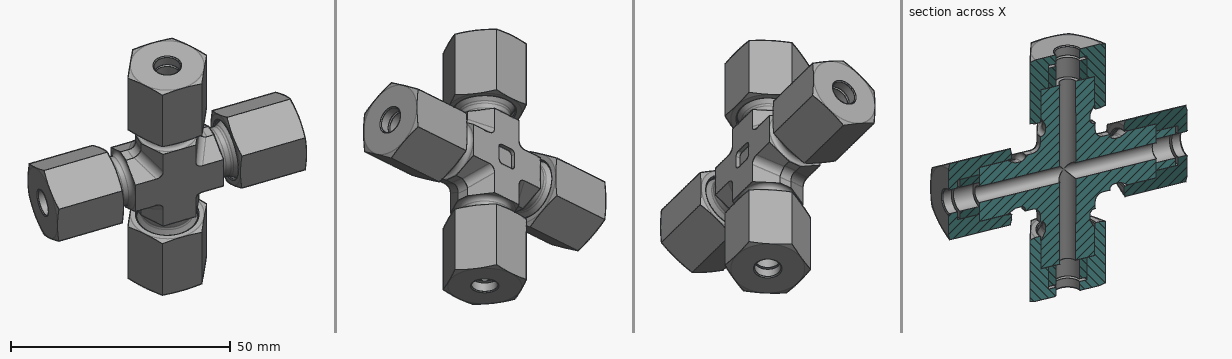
import cadquery as cq
import math

arm_angles = [0, 90, 180, 270]
end_reach = 31.0
through_bore = 4.0
tolerance = 0.01

arm_flats = 14.0
arm_width = 14.4
arm_reach = 11.0
arm_fillet = 2.0

recess_side = 5.0
recess_depth = 1.0
recess_corner = 1.0

thread_diameter = 14.0
neck_diameter = 11.7
neck_end = 13.3
runout_angle = math.radians(30)
stub_reach = 23.0

nut_flats = 17.0
nut_start = 14.5
nut_face_diameter = 16.85
nut_bevel_height = 0.4
nut_mouth_diameter = 14.5
nut_pocket_end = 28.6
tube_bore_chamfer = 0.25

ferrule_diameter = 10.0
ferrule_end = 28.0
tube_bore = 6.0


def hexagon_prism(flats, start, end):
    """Hexagonal prism along Z with two of its flats facing +X and -X."""
    corner_diameter = flats / math.cos(math.pi / 6)
    prism = cq.Workplane("XY").workplane(offset=start).polygon(6, corner_diameter).extrude(end - start)
    return prism.rotate((0, 0, 0), (0, 0, 1), 30)


def cylinder(diameter, start, end):
    """Cylinder along Z between two heights."""
    return cq.Workplane("XY").workplane(offset=start).circle(diameter / 2).extrude(end - start)


def on_arm(shape, angle):
    """Turn a shape made along +Z onto one of the arms."""
    return shape.rotate((0, 0, 0), (1, 0, 0), angle)


def make_stub():
    """Threaded stub along +Z: root fillet, neck, conical run-out and thread."""
    neck_radius = neck_diameter / 2
    thread_radius = thread_diameter / 2
    fillet = thread_radius - neck_radius
    fillet_mid = fillet * (1 - math.sin(math.pi / 4))

    runout_radius = neck_radius + fillet * (1 - math.cos(runout_angle))
    runout_start = neck_end + fillet * math.sin(runout_angle)
    runout_mid_radius = neck_radius + fillet * (1 - math.cos(runout_angle / 2))
    runout_mid = neck_end + fillet * math.sin(runout_angle / 2)
    thread_start = runout_start + (thread_radius - runout_radius) / math.tan(runout_angle)

    profile = (
        cq.Workplane("XZ")
        .moveTo(0, arm_reach)
        .lineTo(thread_radius, arm_reach)
        .threePointArc(
            (neck_radius + fillet_mid, arm_reach + fillet_mid),
            (neck_radius, arm_reach + fillet),
        )
        .lineTo(neck_radius, neck_end)
        .threePointArc((runout_mid_radius, runout_mid), (runout_radius, runout_start))
        .lineTo(thread_radius, thread_start)
        .lineTo(thread_radius, stub_reach)
        .lineTo(0, stub_reach)
        .close()
    )
    return profile.revolve(360, (0, 0, 0), (0, 1, 0))


def make_arms():
    """Crossing hexagonal bars, rounded at the inner corners and trimmed to the cut width."""
    bar = hexagon_prism(arm_flats, -arm_reach, arm_reach)
    arms = bar.union(on_arm(bar, 90)).clean()

    inner_edges = [edge for edge in arms.edges().vals() if is_oblique(edge)]
    arms = arms.newObject(inner_edges).fillet(arm_fillet)

    outline = cq.Workplane("XY").box(arm_flats, arm_width, 2 * arm_reach)
    outline = outline.union(on_arm(outline, 90)).clean()
    inner_limit = (arm_width / 2 + arm_reach) / 2
    inner_corners = cq.selectors.BoxSelector(
        (-arm_flats, -inner_limit, -inner_limit),
        (arm_flats, inner_limit, inner_limit),
    )
    outline = outline.edges("|X").edges(inner_corners).fillet(arm_fillet)
    return arms.intersect(outline)


def is_oblique(edge):
    """True for a straight edge that runs along X, Y and Z at once."""
    direction = edge.tangentAt(0)
    return min(abs(direction.x), abs(direction.y), abs(direction.z)) > tolerance


def make_block():
    """Cross block with four stubs, crossing bores and a recess."""
    block = make_arms()
    stub = make_stub()
    for angle in arm_angles:
        block = block.union(on_arm(stub, angle))

    bore = cylinder(through_bore, -stub_reach, stub_reach)
    block = block.cut(bore).cut(on_arm(bore, 90))

    recess = (
        cq.Workplane("YZ")
        .workplane(offset=-arm_flats / 2)
        .rect(recess_side, recess_side)
        .extrude(recess_depth)
        .edges("|X")
        .fillet(recess_corner)
    )
    return block.cut(recess)


def make_nut():
    """Hexagonal nut along +Z, bevelled at both ends, with a stepped bore."""
    corner_radius = nut_flats / 2 / math.cos(math.pi / 6)
    face_radius = nut_face_diameter / 2
    bevelled_envelope = (
        cq.Workplane("XZ")
        .moveTo(0, nut_start)
        .lineTo(face_radius, nut_start)
        .lineTo(corner_radius, nut_start + nut_bevel_height)
        .lineTo(corner_radius, end_reach - nut_bevel_height)
        .lineTo(face_radius, end_reach)
        .lineTo(0, end_reach)
        .close()
        .revolve(360, (0, 0, 0), (0, 1, 0))
    )
    nut = hexagon_prism(nut_flats, nut_start, end_reach).intersect(bevelled_envelope)
    nut = nut.cut(cylinder(thread_diameter, nut_start, stub_reach))
    nut = nut.cut(cylinder(ferrule_diameter, stub_reach, nut_pocket_end))
    nut = nut.cut(cylinder(tube_bore, nut_pocket_end, end_reach))

    bore_edge = cq.selectors.RadiusNthSelector(0)
    nut = nut.faces("<Z").edges(bore_edge).chamfer((nut_mouth_diameter - thread_diameter) / 2)
    return nut.faces(">Z").edges(bore_edge).chamfer(tube_bore_chamfer)


def make_ferrule():
    """Plain ring along +Z, seated against the end of the stub."""
    ring = cylinder(ferrule_diameter, stub_reach, ferrule_end)
    return ring.cut(cylinder(tube_bore, stub_reach, ferrule_end))


block = make_block()
nuts = [on_arm(make_nut(), angle) for angle in arm_angles]
ferrules = [on_arm(make_ferrule(), angle) for angle in arm_angles]

result = cq.Compound.makeCompound(
    [block.val()]
    + [nut.val() for nut in nuts]
    + [ferrule.val() for ferrule in ferrules]
)